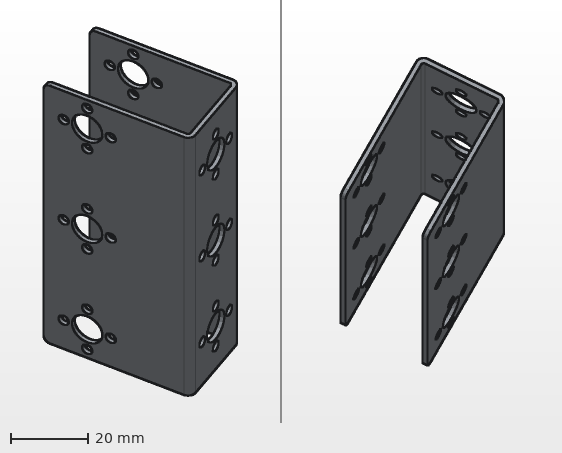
import cadquery as cq

DEPTH = 44.0
WIDTH = 25.5
HEIGHT = 90.0

THICKNESS = 1.5
INNER_BEND_RADIUS = 0.75
OUTER_BEND_RADIUS = INNER_BEND_RADIUS + THICKNESS
CORNER_RADIUS = 2.0

CENTER_HOLE_DIAMETER = 9.0
SCREW_HOLE_DIAMETER = 3.0
SCREW_HOLE_OFFSET = 7.0

PATTERN_COUNT = 3
FLANGE_PATTERN_X = 13.0
FLANGE_PATTERN_PITCH = 35.0
WEB_PATTERN_PITCH = 30.0


def make_channel():
    """U channel along Z, open at X = 0, with its web at the +X end."""
    outer = (
        cq.Workplane("XY")
        .box(DEPTH, WIDTH, HEIGHT, centered=(False, True, False))
        .edges("|Z and >X")
        .fillet(OUTER_BEND_RADIUS)
    )
    inner = (
        cq.Workplane("XY")
        .box(DEPTH - THICKNESS, WIDTH - 2 * THICKNESS, HEIGHT, centered=(False, True, False))
        .edges("|Z and >X")
        .fillet(INNER_BEND_RADIUS)
    )
    return outer.cut(inner)


def round_free_corners(channel):
    """Round the four free corners of the flanges."""
    return channel.edges("|Y and <X").fillet(CORNER_RADIUS)


def pattern_heights(pitch):
    """Z positions of the hole patterns, centred on the bracket height."""
    lowest = HEIGHT / 2 - pitch * (PATTERN_COUNT - 1) / 2
    return [lowest + pitch * index for index in range(PATTERN_COUNT)]


def hole_cutters(plane, across, heights, length):
    """Cylinders for a column of hole patterns, extending `length` to both sides of the plane."""
    centers = [(across, z) for z in heights]
    screw_points = []
    for z in heights:
        screw_points += [
            (across - SCREW_HOLE_OFFSET, z),
            (across + SCREW_HOLE_OFFSET, z),
            (across, z - SCREW_HOLE_OFFSET),
            (across, z + SCREW_HOLE_OFFSET),
        ]
    center_holes = (
        cq.Workplane(plane)
        .pushPoints(centers)
        .circle(CENTER_HOLE_DIAMETER / 2)
        .extrude(length, both=True)
    )
    screw_holes = (
        cq.Workplane(plane)
        .pushPoints(screw_points)
        .circle(SCREW_HOLE_DIAMETER / 2)
        .extrude(length, both=True)
    )
    return center_holes.add(screw_holes).combine()


bracket = round_free_corners(make_channel())

flange_heights = pattern_heights(FLANGE_PATTERN_PITCH)
bracket = bracket.cut(hole_cutters("XZ", FLANGE_PATTERN_X, flange_heights, WIDTH))

web_heights = pattern_heights(WEB_PATTERN_PITCH)
result = bracket.cut(hole_cutters("YZ", 0, web_heights, DEPTH))